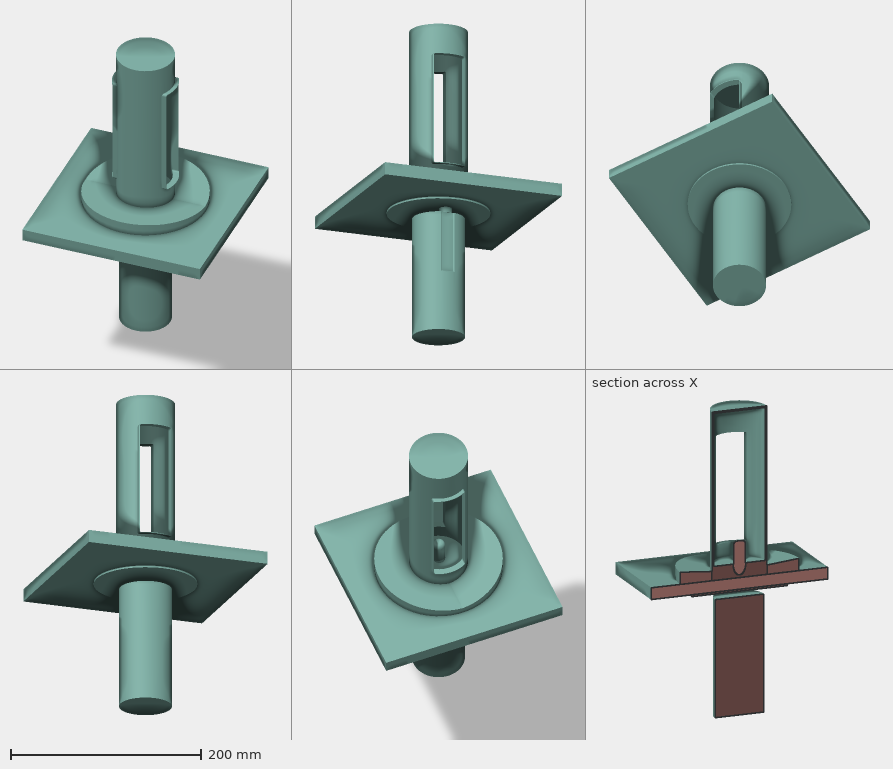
import cadquery as cq
import math

plate_side = 200.0
plate_thickness = 13.5

base_radius = 67.5
base_valley_height = 7.5
base_rim_height = 13.5

tower_diameter = 62.2
tower_wall = 2.5
tower_floor_height = 15.5
tower_top = 185.0
cap_thickness = 2.0
tower_radius = tower_diameter / 2
tower_bore_radius = tower_radius - tower_wall
tube_end_height = tower_top - cap_thickness

window_width = 35.0
window_bottom = 30.5
window_top = 151.0
window_corner_radius = 1.7
frame_sheet = 0.7
frame_radius = 35.3
window_height = window_top - window_bottom
window_middle = (window_bottom + window_top) / 2

flange_radius = 54.5
flange_thickness = 2.0
flange_bottom = -plate_thickness - flange_thickness

canister_radius = 28.0
canister_top = -21.2
canister_bottom = -151.5
pocket_end = -87.5
pocket_width = 16.0
pocket_bevel = 2.0
pocket_floor_x = -26.0

pipe_diameter = 13.8
pipe_offset = -20.2
pipe_top = 40.5
pipe_end_fillet = 4.0
pipe_radius = pipe_diameter / 2


def cylinder(radius, bottom, top):
    return cq.Workplane("XY").workplane(offset=bottom).circle(radius).extrude(top - bottom)


def make_pipe():
    """Pipe that jogs sideways between the flange and the tower floor."""
    route = (
        cq.Workplane("XZ")
        .moveTo(pipe_offset, canister_top)
        .lineTo(pipe_offset, flange_bottom)
        .lineTo(0, tower_floor_height)
        .lineTo(0, pipe_top)
    )
    start = cq.Workplane("XY", origin=(pipe_offset, 0, canister_top))
    pipe = start.circle(pipe_radius).sweep(route, transition="round")
    return pipe.faces(">Z").edges().fillet(pipe_end_fillet)


def make_plate():
    plate = cq.Workplane("XY").rect(plate_side, plate_side).extrude(-plate_thickness)
    return plate.cut(make_pipe())


def make_base():
    """Ring around the foot of the tower, rising from the valley towards +Y and -Y."""
    v_profile = (
        cq.Workplane("YZ")
        .moveTo(-base_radius, 0)
        .lineTo(-base_radius, base_rim_height)
        .lineTo(0, base_valley_height)
        .lineTo(base_radius, base_rim_height)
        .lineTo(base_radius, 0)
        .close()
        .extrude(base_radius, both=True)
    )
    ring = cylinder(base_radius, 0, base_rim_height).cut(cylinder(tower_radius, 0, base_rim_height))
    return ring.intersect(v_profile)


def window_prism(margin):
    """Rounded bar through both windows, larger than the opening by margin on every side."""
    return (
        cq.Workplane("YZ", origin=(0, 0, window_middle))
        .rect(window_width + 2 * margin, window_height + 2 * margin)
        .extrude(frame_radius, both=True)
        .edges("|X")
        .fillet(window_corner_radius + margin)
    )


def make_tower():
    bore = cylinder(tower_bore_radius, tower_floor_height, tube_end_height)
    frames = cylinder(frame_radius, 0, tube_end_height).intersect(window_prism(frame_sheet))
    shell = cylinder(tower_radius, 0, tube_end_height).union(frames)
    return shell.cut(bore).cut(window_prism(0)).cut(make_pipe())


def make_cap():
    return cylinder(tower_radius, tube_end_height, tower_top)


def make_flange():
    return cylinder(flange_radius, flange_bottom, -plate_thickness).cut(make_pipe())


def make_canister():
    """Solid canister; the pocket is open at the top and narrows towards its floor."""
    pocket_depth = canister_radius + pocket_floor_x
    pocket_length = canister_top - pocket_end
    pocket = (
        cq.Workplane("YZ", origin=(-canister_radius, 0, canister_top))
        .rect(pocket_width, 2 * pocket_length)
        .extrude(pocket_depth, taper=math.degrees(math.atan2(pocket_bevel, pocket_depth)))
    )
    return cylinder(canister_radius, canister_bottom, canister_top).cut(pocket)


plate = make_plate()
base = make_base()
tower = make_tower()
cap = make_cap()
flange = make_flange()
canister = make_canister()
pipe = make_pipe()

result = cq.Compound.makeCompound([
    plate.solids().val(),
    base.solids().val(),
    tower.solids().val(),
    cap.solids().val(),
    flange.solids().val(),
    canister.solids().val(),
    pipe.solids().val(),
])